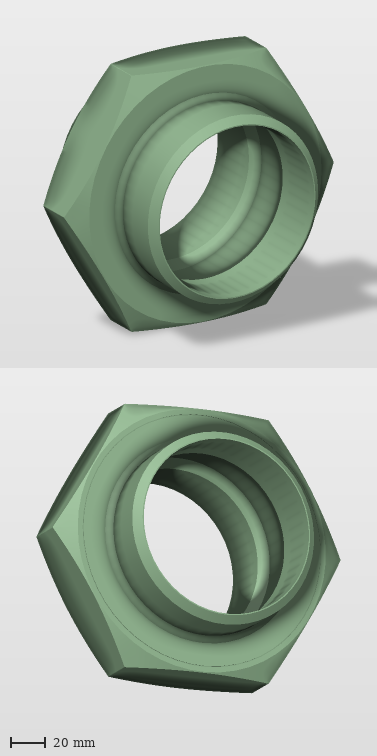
import cadquery as cq
import math

across_flats = 157.0
corner_radius = 90.5
hex_left_x = -19.0
hex_right_x = 18.7
hex_chamfer_angle = 30.0
hex_face_radius = 78.0

ring_radius = 75.0
ring_width = 0.5
ring_depth = 0.4

fitting_length = 108.0
half_length = fitting_length / 2
tube_radius = 57.2
end_bevel = 4.5
collar_radius = 60.9
left_collar_length = 3.6
right_collar_length = 2.9

bore_radius = 52.0
chamber_radius = tube_radius
chamber_taper = chamber_radius - bore_radius


def revolve_about_x(points):
    """Revolve a closed outline of (x, radius) points around the X axis."""
    return cq.Workplane("XY").polyline(points).close().revolve(360, (0, 0, 0), (1, 0, 0))


def make_hexagon():
    """Hexagonal prism trimmed by a turned blank that rounds and chamfers its corners."""
    width = hex_right_x - hex_left_x
    corner_to_corner = across_flats / math.cos(math.radians(30))
    prism = cq.Workplane("YZ", origin=(hex_left_x, 0, 0)).polygon(6, corner_to_corner).extrude(width)
    chamfer_length = (corner_radius - hex_face_radius) * math.tan(math.radians(hex_chamfer_angle))
    turned_blank = revolve_about_x([
        (hex_left_x, 0),
        (hex_left_x, hex_face_radius),
        (hex_left_x + chamfer_length, corner_radius),
        (hex_right_x - chamfer_length, corner_radius),
        (hex_right_x, hex_face_radius),
        (hex_right_x, 0),
    ])
    return prism.intersect(turned_blank)


def make_tube():
    """Solid tube body with bevelled ends and a conical collar against each hexagon face."""
    return revolve_about_x([
        (-half_length, 0),
        (-half_length, tube_radius - end_bevel),
        (-half_length + end_bevel, tube_radius),
        (hex_left_x - left_collar_length, tube_radius),
        (hex_left_x, collar_radius),
        (hex_right_x, collar_radius),
        (hex_right_x + right_collar_length, tube_radius),
        (half_length - end_bevel, tube_radius),
        (half_length, tube_radius - end_bevel),
        (half_length, 0),
    ])


def make_bore():
    """Through bore, opening into the tapered chamber between the hexagon faces."""
    return revolve_about_x([
        (-half_length, 0),
        (-half_length, bore_radius),
        (hex_left_x, bore_radius),
        (hex_left_x + chamber_taper, chamber_radius),
        (hex_right_x - chamber_taper, chamber_radius),
        (hex_right_x, bore_radius),
        (half_length, bore_radius),
        (half_length, 0),
    ])


def make_ring_groove():
    """Thin circular groove sunk into the left hexagon face."""
    face = cq.Workplane("YZ", origin=(hex_left_x, 0, 0))
    return face.circle(ring_radius).circle(ring_radius - ring_width).extrude(ring_depth)


result = make_hexagon().union(make_tube()).cut(make_bore()).cut(make_ring_groove())